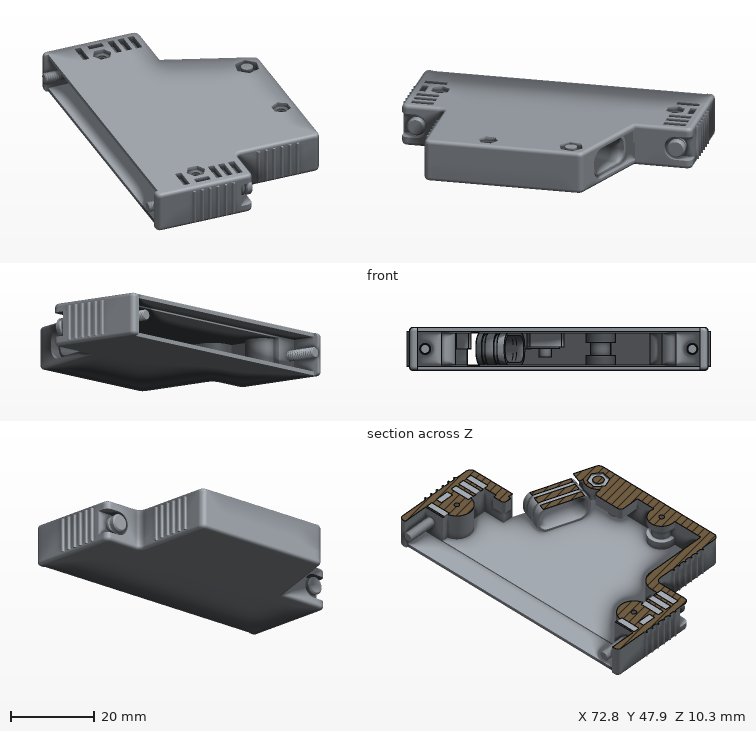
import cadquery as cq
import math

HEIGHT = 10.3
HALF_WIDTH = 35.8
SHOULDER_Y = 24.0
BACK_Y = 46.0
FLANGE_Y = -1.0
SLANT_FOOT_X = -21.8
SLANT_HEAD_X = -13.9
RIGHT_WALL_X = 25.0
WALL = 3.1
FRONT_CORNER_RADIUS = 1.15
BACK_CORNER_RADIUS = 1.45
INNER_CORNER_RADIUS = 1.4
EDGE_RADIUS = 0.9

CAVITY_HEIGHT = 7.7
CAVITY_HALF_WIDTH = 28.1
RECESS_HEIGHT = 8.4
RECESS_HALF_WIDTH = 33.8
RECESS_DEPTH = 6.2

SLEEVE_X, SLEEVE_Y = -17.4, 32.35
SLEEVE_WIDTH = 14.55
SLEEVE_HEIGHT = 7.85
SLEEVE_LENGTH = 7.2
SLEEVE_WALL = 0.3
SLEEVE_RADIUS = 3.3
GROOVE_STARTS = (1.4, 4.4)
GROOVE_WIDTH = 0.9
GROOVE_DEPTH = 0.4
OPENING_TOP_Y = 40.4
OPENING_FOOT_X = -21.95

RIB_COUNT = 6
RIB_PITCH = 2.0
SIDE_RIBS_Y = 18.8
RIGHT_RIBS_Y = 40.0
RIB_RISE = 0.6
RIB_TIP = 0.35
RIB_FOOT_FILLET = 0.4
RIB_LENGTH = 8.35

VENT_X = 31.05
VENT_LENGTH, VENT_WIDTH = 5.5, 1.6
VENT_ROWS_Y = (21.3, 18.7, 16.1, 7.55)
END_VENT_X = 33.0
END_VENT_LENGTH = 3.8
VENT_DEPTH = 1.8

SHELL_SCREW_X, SHELL_SCREW_Y = 28.95, 11.9
PILLAR_X, PILLAR_Y = 10.0, 42.0
NUT_DIAMETER = 4.8
NUT_DEPTH = 0.95
POCKET_TAPER = 10.0
NUT_HOLE_DIAMETER = 2.1
NUT_HOLE_DEPTH = 0.35
CORE_DIAMETER = 1.2
CORE_DEPTH = 2.2
SIDE_BOSS_DIAMETER = 8.4
PILLAR_DIAMETER = 7.1
PILLAR_NECK_DIAMETER = 4.95
PILLAR_NECK_HEIGHT = 3.2

CLAMP_X, CLAMP_Y = -10.3, 41.75
CLAMP_POCKET_DIAMETER = 6.1
CLAMP_POCKET_TURN = -11.0
CLAMP_POCKET_DEPTH = 2.2
CLAMP_STUD_DIAMETER = 2.9
CLAMP_BOSS_DIAMETER = 7.3

BLOCK_LEFT, BLOCK_RIGHT = -7.55, 1.3
BLOCK_FRONT_Y = 37.1
BLOCK_UNDERSIDE = 0.5
BLOCK_CHAMFER = 0.65
STEP_RIGHT = 0.15
STEP_UNDERSIDE = 0.1
DOWEL_X, DOWEL_Y = -3.3, 40.0
DOWEL_DIAMETER = 3.0
DOWEL_END = -1.9

LIP_LEFT, LIP_RIGHT = -24.5, -21.0
LIP_FRONT_Y, LIP_BACK_Y = 20.0, 22.55
LIP_CHAMFER = 0.65

SCREW_X = 32.0
SCREW_TIP_Y = -1.9
SCREW_DIAMETER = 2.6
THREAD_ROOT_DIAMETER = 2.2
THREAD_TURNS = 14
HEAD_DIAMETER = 4.35
HEAD_TOP_Y = 24.65
HEAD_THICKNESS = 1.75
HEAD_CHAMFER = 0.35
COLLAR_DIAMETER = 4.1
COLLAR_TOP_Y = 22.5
COLLAR_THICKNESS = 0.65
NOTCH_DIAMETER = 5.95

TOP = HEIGHT / 2
CAVITY_TOP = CAVITY_HEIGHT / 2
NOTCH_FLOOR_Y = SHOULDER_Y - WALL
CAVITY_BACK_Y = BACK_Y - WALL
SLANT_RUN = SLANT_HEAD_X - SLANT_FOOT_X
SLANT_RISE = BACK_Y - SHOULDER_Y
SLANT_LENGTH = math.hypot(SLANT_RUN, SLANT_RISE)
SLANT_COS = SLANT_RISE / SLANT_LENGTH
SLANT_SIN = SLANT_RUN / SLANT_LENGTH


def slant_x(y, inset=0.0):
    """X on the slanted wall at the given Y, inset inwards from its outer face."""
    return SLANT_FOOT_X + (y - SHOULDER_Y) * SLANT_RUN / SLANT_RISE + inset / SLANT_COS


def box(x_range, y_range, z_range):
    """Axis-aligned box between the given limits."""
    size = [high - low for low, high in (x_range, y_range, z_range)]
    return cq.Workplane("XY").box(*size, centered=False).translate((x_range[0], y_range[0], z_range[0]))


def pillar(x, y, diameter, z_low, z_high):
    """Vertical cylinder between two levels."""
    return cq.Workplane("XY", origin=(x, y, z_low)).circle(diameter / 2).extrude(z_high - z_low)


def slab(points, height):
    """Outline in XY, extruded evenly to both sides of Z = 0."""
    return cq.Workplane("XY").polyline(points).close().extrude(height / 2, both=True)


def make_shell():
    outline = [
        (-HALF_WIDTH, FLANGE_Y),
        (HALF_WIDTH, FLANGE_Y),
        (HALF_WIDTH, SHOULDER_Y),
        (RIGHT_WALL_X, SHOULDER_Y),
        (RIGHT_WALL_X, BACK_Y),
        (SLANT_HEAD_X, BACK_Y),
        (SLANT_FOOT_X, SHOULDER_Y),
        (-HALF_WIDTH, SHOULDER_Y),
    ]
    shell = slab(outline, HEIGHT)
    inner_corner = cq.selectors.NearestToPointSelector((RIGHT_WALL_X, SHOULDER_Y, 0))
    shell = shell.edges(inner_corner).fillet(INNER_CORNER_RADIUS)
    for x, y in outline:
        if (x, y) in ((RIGHT_WALL_X, SHOULDER_Y), (SLANT_FOOT_X, SHOULDER_Y)):
            continue
        radius = FRONT_CORNER_RADIUS if y == FLANGE_Y else BACK_CORNER_RADIUS
        shell = shell.edges(cq.selectors.NearestToPointSelector((x, y, 0))).fillet(radius)
    shell = shell.faces("<Z or >Z").edges().fillet(EDGE_RADIUS)

    plate_setback = box((-RECESS_HALF_WIDTH, RECESS_HALF_WIDTH), (FLANGE_Y, 0), (-TOP, TOP))
    return shell.cut(plate_setback)


def make_cavity():
    cavity = slab(
        [
            (-CAVITY_HALF_WIDTH, 0),
            (CAVITY_HALF_WIDTH, 0),
            (CAVITY_HALF_WIDTH, NOTCH_FLOOR_Y),
            (RIGHT_WALL_X - WALL, NOTCH_FLOOR_Y),
            (RIGHT_WALL_X - WALL, CAVITY_BACK_Y),
            (slant_x(CAVITY_BACK_Y, WALL), CAVITY_BACK_Y),
            (slant_x(NOTCH_FLOOR_Y, WALL), NOTCH_FLOOR_Y),
            (-CAVITY_HALF_WIDTH, NOTCH_FLOOR_Y),
        ],
        CAVITY_HEIGHT,
    )
    bend = cq.selectors.NearestToPointSelector((RIGHT_WALL_X - WALL, NOTCH_FLOOR_Y, 0))
    cavity = cavity.edges(bend).fillet(INNER_CORNER_RADIUS + WALL)
    recess = box(
        (-RECESS_HALF_WIDTH, RECESS_HALF_WIDTH), (0, RECESS_DEPTH), (-RECESS_HEIGHT / 2, RECESS_HEIGHT / 2)
    )
    return cavity.union(recess)


def slant_prism(width, height, radius, start, length, shift=0.0):
    """Round-cornered bar along the sleeve axis; start is measured inwards from the mouth."""
    plane = cq.Plane(
        origin=(SLEEVE_X, SLEEVE_Y, 0),
        xDir=(SLANT_SIN, SLANT_COS, 0),
        normal=(SLANT_COS, -SLANT_SIN, 0),
    )
    bar = cq.Workplane(plane).center(shift, 0).rect(width, height).extrude(length)
    bar = bar.edges(cq.selectors.ParallelDirSelector(plane.zDir)).fillet(radius)
    return bar.translate(plane.zDir * start)


def make_cable_opening():
    """Opening in the slanted wall, from the shoulder to a round-cornered upper end."""
    reach = 2 * WALL
    spare = (OPENING_TOP_Y - SLEEVE_Y) / SLANT_COS - SLEEVE_WIDTH / 2
    upper = slant_prism(
        SLEEVE_WIDTH + spare, CAVITY_HEIGHT, SLEEVE_RADIUS, -reach / 2, reach, spare / 2
    )
    lower = slab(
        [
            (SLANT_FOOT_X, SHOULDER_Y),
            (OPENING_FOOT_X, NOTCH_FLOOR_Y),
            (slant_x(NOTCH_FLOOR_Y, WALL), NOTCH_FLOOR_Y),
            (slant_x(SLEEVE_Y, WALL), SLEEVE_Y),
            (slant_x(SLEEVE_Y), SLEEVE_Y),
        ],
        CAVITY_HEIGHT,
    )
    return upper.union(lower)


def make_sleeve():
    sleeve = slant_prism(SLEEVE_WIDTH, SLEEVE_HEIGHT, SLEEVE_RADIUS, 0, SLEEVE_LENGTH)
    for start in GROOVE_STARTS:
        band = slant_prism(SLEEVE_WIDTH, SLEEVE_HEIGHT, SLEEVE_RADIUS, start, GROOVE_WIDTH)
        core = slant_prism(
            SLEEVE_WIDTH - 2 * GROOVE_DEPTH,
            SLEEVE_HEIGHT - 2 * GROOVE_DEPTH,
            SLEEVE_RADIUS - GROOVE_DEPTH,
            start,
            GROOVE_WIDTH,
        )
        sleeve = sleeve.cut(band.cut(core))
    return sleeve


def make_sleeve_bore():
    wall = GROOVE_DEPTH + SLEEVE_WALL
    return slant_prism(
        SLEEVE_WIDTH - 2 * wall, SLEEVE_HEIGHT - 2 * wall, SLEEVE_RADIUS - wall, 0, SLEEVE_LENGTH
    )


def add_inner_features(hood):
    for side in (-1, 1):
        x = side * SHELL_SCREW_X
        hood = hood.union(pillar(x, SHELL_SCREW_Y, SIDE_BOSS_DIAMETER, -CAVITY_TOP, CAVITY_TOP))

    neck_top = PILLAR_NECK_HEIGHT / 2
    hood = hood.union(pillar(PILLAR_X, PILLAR_Y, PILLAR_DIAMETER, neck_top, CAVITY_TOP))
    hood = hood.union(pillar(PILLAR_X, PILLAR_Y, PILLAR_DIAMETER, -CAVITY_TOP, -neck_top))
    hood = hood.union(pillar(PILLAR_X, PILLAR_Y, PILLAR_NECK_DIAMETER, -neck_top, neck_top))

    hood = hood.union(pillar(CLAMP_X, CLAMP_Y, CLAMP_BOSS_DIAMETER, 0, CAVITY_TOP))
    block = box((BLOCK_LEFT, BLOCK_RIGHT), (BLOCK_FRONT_Y, CAVITY_BACK_Y), (BLOCK_UNDERSIDE, CAVITY_TOP))
    hood = hood.union(block.faces("<Y").edges("|Z").chamfer(BLOCK_CHAMFER))
    step_y = (BLOCK_FRONT_Y + BLOCK_CHAMFER, CAVITY_BACK_Y)
    hood = hood.union(box((BLOCK_LEFT, STEP_RIGHT), step_y, (STEP_UNDERSIDE, BLOCK_UNDERSIDE)))
    hood = hood.union(pillar(DOWEL_X, DOWEL_Y, DOWEL_DIAMETER, DOWEL_END, STEP_UNDERSIDE))

    lip = box((LIP_LEFT, LIP_RIGHT), (LIP_FRONT_Y, LIP_BACK_Y), (0, CAVITY_TOP))
    return hood.union(lip.edges("|Z and >X and <Y").chamfer(LIP_CHAMFER))


def cut_vents(hood):
    top_plane = cq.Workplane("XY", origin=(0, 0, TOP))
    for side in (-1, 1):
        rows = [(side * VENT_X, y) for y in VENT_ROWS_Y]
        hood = hood.cut(top_plane.pushPoints(rows).rect(VENT_LENGTH, VENT_WIDTH).extrude(-VENT_DEPTH))
        end_vent = top_plane.center(side * END_VENT_X, SHELL_SCREW_Y).rect(VENT_WIDTH, END_VENT_LENGTH)
        hood = hood.cut(end_vent.extrude(-VENT_DEPTH))
    return hood


def hex_pocket(x, y, diameter, depth, turn):
    """Hexagon sunk from the top face; turn is the angle of one corner from +X."""
    hexagon = cq.Workplane("XY").polygon(6, diameter).extrude(-depth, taper=POCKET_TAPER)
    return hexagon.rotate((0, 0, 0), (0, 0, 1), turn).translate((x, y, TOP))


def cut_nut_pockets(hood):
    places = [
        (-SHELL_SCREW_X, SHELL_SCREW_Y, 90),
        (SHELL_SCREW_X, SHELL_SCREW_Y, 90),
        (PILLAR_X, PILLAR_Y, 0),
    ]
    floor = TOP - NUT_DEPTH
    for x, y, turn in places:
        hood = hood.cut(hex_pocket(x, y, NUT_DIAMETER, NUT_DEPTH, turn))
        hood = hood.cut(pillar(x, y, NUT_HOLE_DIAMETER, floor - NUT_HOLE_DEPTH, floor))
        hood = hood.cut(pillar(x, y, CORE_DIAMETER, floor - CORE_DEPTH, floor))

    clamp = hex_pocket(CLAMP_X, CLAMP_Y, CLAMP_POCKET_DIAMETER, CLAMP_POCKET_DEPTH, CLAMP_POCKET_TURN)
    stud = pillar(CLAMP_X, CLAMP_Y, CLAMP_STUD_DIAMETER, TOP - CLAMP_POCKET_DEPTH, TOP)
    return hood.cut(clamp.cut(stud))


def make_rib(wall_x, y, side):
    """Upright grip rib with concave feet, standing on a wall that faces side * X."""
    tip = RIB_TIP / 2
    foot = tip + RIB_FOOT_FILLET
    bend = RIB_FOOT_FILLET * (1 - math.sqrt(0.5))
    profile = (
        cq.Workplane("XY")
        .moveTo(0, foot)
        .threePointArc((bend, tip + bend), (RIB_FOOT_FILLET, tip))
        .lineTo(RIB_RISE, tip)
        .lineTo(RIB_RISE, -tip)
        .lineTo(RIB_FOOT_FILLET, -tip)
        .threePointArc((bend, -tip - bend), (0, -foot))
        .lineTo(-RIB_FOOT_FILLET, -foot)
        .lineTo(-RIB_FOOT_FILLET, foot)
        .close()
    )
    rib = profile.extrude(RIB_LENGTH / 2, both=True)
    if side < 0:
        rib = rib.mirror("YZ")
    return rib.translate((wall_x, y, 0))


def add_ribs(hood):
    for row in range(RIB_COUNT):
        side_y = SIDE_RIBS_Y - row * RIB_PITCH
        right_y = RIGHT_RIBS_Y - row * RIB_PITCH
        hood = hood.union(make_rib(-HALF_WIDTH, side_y, -1))
        hood = hood.union(make_rib(HALF_WIDTH, side_y, 1))
        hood = hood.union(make_rib(RIGHT_WALL_X, right_y, 1))
    return hood


def cut_screw_seats(hood):
    """Round seat for each screw head, open to the side and back, and the bore below it."""
    notch_z = (-NOTCH_DIAMETER / 2, NOTCH_DIAMETER / 2)
    for side in (-1, 1):
        notch_x = sorted((side * SCREW_X, side * HALF_WIDTH))
        hood = hood.cut(box(notch_x, (NOTCH_FLOOR_Y, SHOULDER_Y), notch_z))
        seat_floor = cq.Workplane("XZ", origin=(side * SCREW_X, NOTCH_FLOOR_Y, 0))
        hood = hood.cut(seat_floor.circle(NOTCH_DIAMETER / 2).extrude(NOTCH_FLOOR_Y - SHOULDER_Y))
        hood = hood.cut(seat_floor.circle(SCREW_DIAMETER / 2).extrude(NOTCH_FLOOR_Y - RECESS_DEPTH))
    return hood


def make_hood():
    hood = make_shell().cut(make_cavity()).cut(make_cable_opening())
    hood = add_inner_features(hood)
    hood = hood.union(make_sleeve()).cut(make_sleeve_bore())
    hood = cut_vents(hood)
    hood = cut_nut_pockets(hood)
    hood = add_ribs(hood)
    return cut_screw_seats(hood).solids()


def make_screw(x):
    """Half profile of ridged end, shank, collar and head, revolved about the screw axis."""
    crest = SCREW_DIAMETER / 2
    root = THREAD_ROOT_DIAMETER / 2
    collar = COLLAR_DIAMETER / 2
    head = HEAD_DIAMETER / 2
    pitch = (RECESS_DEPTH - SCREW_TIP_Y) / THREAD_TURNS

    points = [(0, SCREW_TIP_Y)]
    for turn in range(THREAD_TURNS):
        start = SCREW_TIP_Y + turn * pitch
        points += [(root, start), (crest, start + pitch / 2)]
    points += [
        (root, RECESS_DEPTH),
        (crest, RECESS_DEPTH),
        (crest, COLLAR_TOP_Y - COLLAR_THICKNESS),
        (collar, COLLAR_TOP_Y - COLLAR_THICKNESS),
        (collar, COLLAR_TOP_Y),
        (crest, COLLAR_TOP_Y),
        (crest, HEAD_TOP_Y - HEAD_THICKNESS),
        (head - HEAD_CHAMFER, HEAD_TOP_Y - HEAD_THICKNESS),
        (head, HEAD_TOP_Y - HEAD_THICKNESS + HEAD_CHAMFER),
        (head, HEAD_TOP_Y - HEAD_CHAMFER),
        (head - HEAD_CHAMFER, HEAD_TOP_Y),
        (0, HEAD_TOP_Y),
    ]
    screw = cq.Workplane("XY").polyline(points).close().revolve(360, (0, 0, 0), (0, 1, 0))
    return screw.translate((x, 0, 0))


hood = make_hood()
screws = [make_screw(side * SCREW_X) for side in (-1, 1)]

result = cq.Compound.makeCompound([hood.val(), *[screw.val() for screw in screws]])